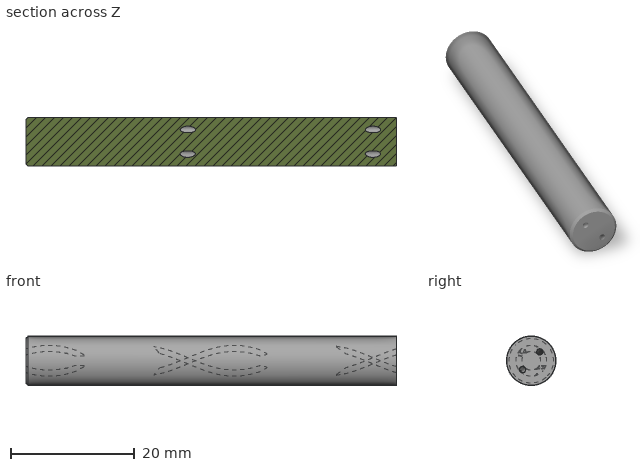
import cadquery as cq
import math

rod_diameter = 8.0
rod_length = 60.0
chamfer_size = 0.4

channel_diameter = 1.0
channel_circle_diameter = 4.0
channel_count = 2
first_channel_angle = 45.0
helix_angle = 40.0
channel_lead = math.pi * rod_diameter / math.tan(math.radians(helix_angle))
channel_overrun = 1.0


def make_rod():
    """Solid rod from X = 0, with its front end chamfered."""
    rod = cq.Workplane("YZ").circle(rod_diameter / 2).extrude(rod_length)
    return rod.faces("<X").chamfer(chamfer_size)


def make_channel(angle_at_front):
    """Right-hand spiral channel that crosses the front face at the given angle."""
    circle_radius = channel_circle_diameter / 2
    spiral = cq.Wire.makeHelix(channel_lead, rod_length + 2 * channel_overrun, circle_radius)
    section = cq.Workplane("XY").center(circle_radius, 0).circle(channel_diameter / 2)
    channel = section.sweep(spiral, isFrenet=True)
    start_angle = angle_at_front - 360.0 * channel_overrun / channel_lead
    channel = channel.rotate((0, 0, 0), (0, 0, 1), start_angle)
    lying = cq.Plane(origin=(-channel_overrun, 0, 0), xDir=(0, 1, 0), normal=(1, 0, 0))
    return channel.val().moved(cq.Location(lying))


def make_part():
    """Rod with its evenly spaced spiral channels cut out."""
    part = make_rod()
    for index in range(channel_count):
        angle = first_channel_angle + index * 360.0 / channel_count
        part = part.cut(cq.Workplane(make_channel(angle)))
    return part


result = make_part()